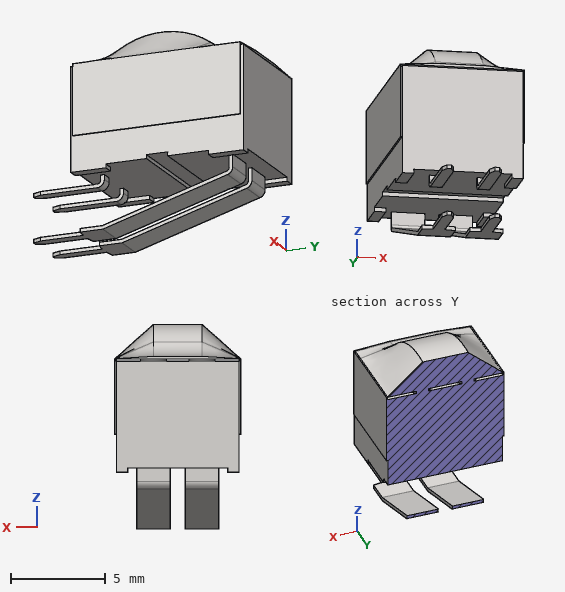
import cadquery as cq
import math


overall_length = 12.8

body_width = 6.48
body_length = 9.9
body_height = 5.85
standoff_height = 0.22
foot_width = 0.61
foot_length = 2.01
groove_length = 1.22
groove_depth = 0.22

cover_width = 6.64
cover_length = 9.59
skirt_bottom = 2.0
lens_bottom = 5.96
edge_thickness = 0.01
rim_thickness = 0.14
lens_top = 7.8
lens_axis_y = -0.59
lens_radius = 4.8
front_blend_radius = 1.02
back_blend_radius = 3.9

lead_pitch = 2.56
lead_thickness = 0.2
lead_embed = 0.38
pin_width = 0.63
pin_tip_width = 0.24
pin_taper = 0.49
tip_y = body_length / 2 - overall_length
front_lead_y = -3.83
front_pin_z = -0.36
back_lead_y = 3.78
back_bend_z = -0.72
back_pin_z = -2.89
back_blade_end_y = -3.57
blade_width = 1.78
shoulder_y = -4.86
shoulder_slant = 0.09
inner_bend_radius = 0.2

emitter_diameter = 1.38

lead_xs = (-lead_pitch / 2, lead_pitch / 2)


def block(width, length, bottom, top):
    """Box centred on the Z axis between two heights."""
    return cq.Workplane("XY").workplane(offset=bottom).rect(width, length).extrude(top - bottom)


def make_body():
    body = block(body_width, body_length, 0, body_height)
    gap_x = body_width - 2 * foot_width
    gap_y = body_length - 2 * foot_length
    body = body.cut(block(gap_x, body_length, 0, standoff_height))
    body = body.cut(block(body_width, gap_y, 0, standoff_height))
    return body.cut(block(body_width, groove_length, 0, standoff_height + groove_depth))


def blend_points(blend_radius, side):
    """Start, middle and end of the arc easing the rim (start) into the dome (end).

    side is +1 for the +Y end of the lens and -1 for the -Y end.
    """
    dome_z = lens_top - lens_radius
    rim_z = lens_bottom + rim_thickness
    blend_z = rim_z + blend_radius
    lean = math.acos((blend_z - dome_z) / (lens_radius + blend_radius))
    blend_y = lens_axis_y + side * (lens_radius + blend_radius) * math.sin(lean)

    def on_blend(angle):
        return (blend_y - side * blend_radius * math.sin(angle), blend_z - blend_radius * math.cos(angle))

    return on_blend(0), on_blend(lean / 2), on_blend(lean)


def make_lens():
    front_start, front_mid, front_end = blend_points(front_blend_radius, -1)
    back_start, back_mid, back_end = blend_points(back_blend_radius, 1)
    half_length = cover_length / 2
    rim_z = lens_bottom + rim_thickness
    edge_z = lens_bottom + edge_thickness

    profile = (
        cq.Workplane("YZ", origin=(-lead_pitch / 2, 0, 0))
        .moveTo(-half_length, lens_bottom)
        .lineTo(-half_length, rim_z)
        .lineTo(*front_start)
        .threePointArc(front_mid, front_end)
        .threePointArc((lens_axis_y, lens_top), back_end)
        .threePointArc(back_mid, back_start)
        .lineTo(half_length, rim_z)
        .lineTo(half_length, lens_bottom)
        .close()
    )
    middle = profile.extrude(lead_pitch)

    arched_wire = profile.wire().val()
    edge_ys = [-half_length, front_start[0], front_end[0], back_end[0], back_start[0], half_length]
    edge_points = [(-half_length, lens_bottom)]
    edge_points += [(y, edge_z) for y in edge_ys]
    edge_points += [(half_length, lens_bottom)]
    edge_wire = cq.Workplane("YZ", origin=(-cover_width / 2, 0, 0)).polyline(edge_points).close().val()
    flank = cq.Workplane(cq.Solid.makeLoft([edge_wire, arched_wire], True))
    return middle.union(flank).union(flank.mirror("YZ"))


def make_skirts():
    skirt_top = lens_bottom + edge_thickness
    skirts = block(cover_width, cover_length, skirt_bottom, skirt_top)
    return skirts.cut(block(body_width, cover_length, skirt_bottom, skirt_top))


def strip_side(path, offset):
    """Points of a (y, z) path shifted sideways by offset, with mitred corners."""
    normals = []
    for (y0, z0), (y1, z1) in zip(path, path[1:]):
        length = math.hypot(y1 - y0, z1 - z0)
        normals.append(((z0 - z1) / length, (y1 - y0) / length))
    befores = normals[:1] + normals
    afters = normals + normals[-1:]
    points = []
    for (y, z), before, after in zip(path, befores, afters):
        mitre = offset / (1 + before[0] * after[0] + before[1] * after[1])
        points.append((y + mitre * (before[0] + after[0]), z + mitre * (before[1] + after[1])))
    return points


def make_lead(path, half_plan):
    """Strip bent along path, rounded at its first bend and trimmed to a symmetric plan."""
    outer = strip_side(path, lead_thickness / 2)
    inner = strip_side(path, -lead_thickness / 2)
    strip = cq.Workplane("YZ").polyline(outer + inner[::-1]).close().extrude(blade_width / 2, both=True)
    bends = ((inner[1], inner_bend_radius), (outer[1], inner_bend_radius + lead_thickness))
    for (y, z), radius in bends:
        strip = strip.edges(cq.selectors.NearestToPointSelector((0, y, z))).fillet(radius)

    mirrored = [(-x, y) for x, y in reversed(half_plan)]
    bottom = outer[-1][1]
    plan = cq.Workplane("XY").workplane(offset=bottom).polyline(half_plan + mirrored).close()
    return strip.intersect(plan.extrude(lead_embed - bottom))


def make_leads():
    pin_end = [(pin_width / 2, tip_y + pin_taper), (pin_tip_width / 2, tip_y)]
    front_plan = [(pin_width / 2, body_length / 2)] + pin_end
    back_plan = [
        (blade_width / 2, body_length / 2),
        (blade_width / 2, shoulder_y),
        (pin_width / 2, shoulder_y - shoulder_slant),
    ] + pin_end
    front_path = [(front_lead_y, lead_embed), (front_lead_y, front_pin_z), (tip_y, front_pin_z)]
    back_path = [
        (back_lead_y, lead_embed),
        (back_lead_y, back_bend_z),
        (back_blade_end_y, back_pin_z),
        (tip_y, back_pin_z),
    ]
    return make_lead(front_path, front_plan), make_lead(back_path, back_plan)


def make_emitter():
    emitter = cq.Workplane("XY").workplane(offset=body_height).center(0, lens_axis_y)
    return emitter.circle(emitter_diameter / 2).extrude(lens_bottom - body_height)


result = make_body().union(make_skirts()).union(make_lens())
for feature in (*make_leads(), make_emitter()):
    for x in lead_xs:
        result = result.union(feature.translate((x, 0, 0)))